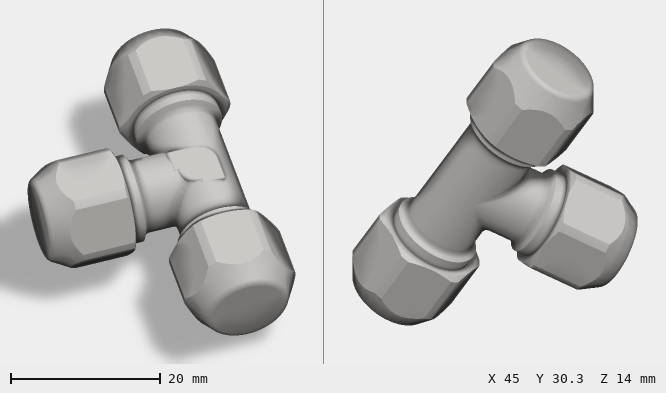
import cadquery as cq
import math

REACH = 22.5
PIPE_RADIUS = 5.0
CROTCH_FILLET = 0.9

COLLAR_RADIUS = 6.0
COLLAR_FILLET = 0.9
COLLAR_BLEND_START = 8.3
COLLAR_RISE_ANGLE = math.radians(60)

NUT_START = 11.0
ACROSS_FLATS = 14.0
CORNER_RADIUS = 7.75
NOSE_RADIUS = 5.5
NOSE_FILLET = 1.0
NOSE_ANGLE = math.radians(30)
BACK_CHAMFER_ANGLE = math.radians(30)

PAD_TOP = 5.05
PAD_NEAR = 2.48
PAD_FAR = 3.95
PAD_CENTER = 0.35
PAD_ARC_REACH = 3.35
PAD_ARC_OFFSET = 0.9
PAD_ARC_MID = 2.55
PAD_CORNER_FILLET = 0.3
PAD_EDGE_FILLET = 0.35


def make_pipe_end():
    """Pipe with its flared collar, along +X from the tee centre."""
    rise = math.sin(COLLAR_RISE_ANGLE)
    run = math.cos(COLLAR_RISE_ANGLE)
    arc_end_x = COLLAR_BLEND_START + COLLAR_FILLET * rise
    arc_end_r = PIPE_RADIUS + COLLAR_FILLET * (1 - run)
    half = COLLAR_RISE_ANGLE / 2
    arc_mid_x = COLLAR_BLEND_START + COLLAR_FILLET * math.sin(half)
    arc_mid_r = PIPE_RADIUS + COLLAR_FILLET * (1 - math.cos(half))
    collar_x = arc_end_x + (COLLAR_RADIUS - arc_end_r) / math.tan(COLLAR_RISE_ANGLE)
    return (
        cq.Workplane("XY")
        .moveTo(0, 0)
        .lineTo(0, PIPE_RADIUS)
        .lineTo(COLLAR_BLEND_START, PIPE_RADIUS)
        .threePointArc((arc_mid_x, arc_mid_r), (arc_end_x, arc_end_r))
        .lineTo(collar_x, COLLAR_RADIUS)
        .lineTo(NUT_START, COLLAR_RADIUS)
        .lineTo(NUT_START, 0)
        .close()
        .revolve(360, (0, 0, 0), (1, 0, 0))
    )


def make_nut():
    """Closed hexagonal nut along +X, with flats facing up and down."""
    face_radius = ACROSS_FLATS / 2
    back_x = NUT_START + (CORNER_RADIUS - face_radius) * math.tan(BACK_CHAMFER_ANGLE)
    cone_x = REACH - (CORNER_RADIUS - NOSE_RADIUS) / math.tan(NOSE_ANGLE)
    turned = (
        cq.Workplane("XY")
        .moveTo(NUT_START, 0)
        .lineTo(NUT_START, face_radius)
        .lineTo(back_x, CORNER_RADIUS)
        .lineTo(cone_x, CORNER_RADIUS)
        .lineTo(REACH, NOSE_RADIUS)
        .lineTo(REACH, 0)
        .close()
        .revolve(360, (0, 0, 0), (1, 0, 0))
        .faces(">X")
        .edges()
        .fillet(NOSE_FILLET)
    )
    hexagon = (
        cq.Workplane(cq.Plane((NUT_START, 0, 0), xDir=(0, 0, 1), normal=(1, 0, 0)))
        .polygon(6, ACROSS_FLATS, circumscribed=True)
        .extrude(REACH - NUT_START)
    )
    return turned.intersect(hexagon)


def make_pad():
    """Leaf-shaped flat pad with a rounded top edge."""
    round_radius = PAD_NEAR + PAD_CENTER
    round_mid = round_radius / math.sqrt(2) - PAD_CENTER
    half_top = PAD_TOP / 2
    outer_corners = cq.selectors.NearestToPointSelector(
        (-PAD_NEAR, -PAD_FAR, half_top)
    ) + cq.selectors.NearestToPointSelector((PAD_FAR, PAD_NEAR, half_top))
    return (
        cq.Workplane("XY")
        .moveTo(-PAD_NEAR, -PAD_FAR)
        .lineTo(-PAD_NEAR, -PAD_CENTER)
        .threePointArc((-round_mid, round_mid), (PAD_CENTER, PAD_NEAR))
        .lineTo(PAD_FAR, PAD_NEAR)
        .lineTo(PAD_FAR, -PAD_ARC_OFFSET)
        .lineTo(PAD_ARC_REACH, -PAD_ARC_OFFSET)
        .threePointArc((PAD_ARC_MID, -PAD_ARC_MID), (PAD_ARC_OFFSET, -PAD_ARC_REACH))
        .lineTo(PAD_ARC_OFFSET, -PAD_FAR)
        .close()
        .extrude(PAD_TOP)
        .edges(outer_corners)
        .fillet(PAD_CORNER_FILLET)
        .faces(">Z")
        .edges()
        .fillet(PAD_EDGE_FILLET)
    )


def at_each_end(shape):
    """The +X shape turned to all three ends of the tee and joined."""
    joined = shape
    for angle in (180, -90):
        joined = joined.union(shape.rotate((0, 0, 0), (0, 0, 1), angle))
    return joined.clean()


def make_tee():
    """Run and branch pipes, blended where they cross."""
    crotch_zone = cq.selectors.BoxSelector(
        (-PIPE_RADIUS, -PIPE_RADIUS, -PIPE_RADIUS), (PIPE_RADIUS, 0, PIPE_RADIUS)
    )
    return at_each_end(make_pipe_end()).edges(crotch_zone).fillet(CROTCH_FILLET)


tee = make_tee()
nuts = at_each_end(make_nut())
result = tee.union(nuts).union(make_pad())